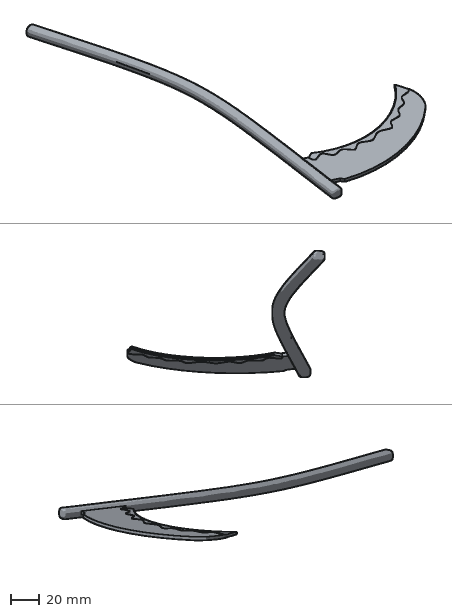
import cadquery as cq
import math

handle_width = 8.7
handle_height = 8.0
corner_radius = 3.0
end_radius = 2.0
butt = (-130.5, -114.5)
head = (131.7, 22.0)
lower_bend = (-65.5, -60.0)
middle_bend = (-22.3, -30.7)
upper_bend = (39.7, -6.0)

blade_thickness = 2.6
bevel = 1.0
grind_depth = 0.3
tip = (21.2, 104.5)
tip_shoulder = (30.2, 112.0)
crown = (45.0, 117.0)
back_start = (55.0, 115.5)
back_middle = (91.7, 89.5)
heel = (117.6, 32.3)
edge_middle = (61.7, 81.0)
edge_end = (79.0, 21.5)
neck_left = 84.3
neck_right = 115.8
neck_left_top = 17.2
neck_right_top = 29.5
flare = 1.3

grind_wave = [
    (32.9, 111.0), (38.2, 103.9), (45.3, 103.0), (51.5, 96.5),
    (58.0, 95.0), (63.9, 86.5), (69.7, 85.3), (71.8, 74.5),
    (80.0, 66.2), (80.5, 55.6), (86.5, 51.1), (83.2, 43.0),
    (87.5, 35.0), (83.2, 27.3), (88.2, 21.0), (neck_left, neck_left_top),
]


def slope_angle(start, end):
    return math.atan2(end[1] - start[1], end[0] - start[0])


def handle_axis_height(x):
    """Y of the axis of the upper straight stretch at x."""
    return head[1] + (x - head[0]) * math.tan(slope_angle(upper_bend, head))


def make_handle():
    lower_angle = slope_angle(butt, lower_bend)
    upper_angle = slope_angle(upper_bend, head)
    end_directions = [(math.cos(angle), math.sin(angle)) for angle in (lower_angle, upper_angle)]
    axis_points = [butt, lower_bend, middle_bend, upper_bend, head]
    path = cq.Workplane("XY").spline(axis_points, tangents=end_directions)
    section_plane = cq.Plane(
        origin=(*butt, 0),
        xDir=(-math.sin(lower_angle), math.cos(lower_angle), 0),
        normal=(math.cos(lower_angle), math.sin(lower_angle), 0),
    )
    section = cq.Sketch().rect(handle_width, handle_height).vertices().fillet(corner_radius)
    bar = cq.Workplane(section_plane).placeSketch(section).sweep(path)
    for end in (butt, head):
        end_face = cq.selectors.NearestToPointSelector((*end, 0))
        bar = bar.faces(end_face).edges().fillet(end_radius)
    return bar


def neck_point(x):
    """Point where the neck side at x meets the flank of the handle."""
    half_rise = handle_width / 2 / math.cos(slope_angle(upper_bend, head))
    return (x, handle_axis_height(x) + half_rise)


def make_blade():
    left_flare = neck_point(neck_left - flare)
    right_flare = neck_point(neck_right + flare)
    profile = (
        cq.Workplane("XY")
        .workplane(offset=-blade_thickness / 2)
        .moveTo(*tip)
        .lineTo(*tip_shoulder)
        .spline([crown, back_start], tangents=[(1, 0.7), (1, -0.5)], includeCurrent=True)
        .threePointArc(back_middle, heel)
        .lineTo(neck_right, neck_right_top)
        .lineTo(neck_right, neck_point(neck_right)[1] + flare)
        .lineTo(*right_flare)
        .lineTo(right_flare[0], handle_axis_height(right_flare[0]))
        .lineTo(left_flare[0], handle_axis_height(left_flare[0]))
        .lineTo(*left_flare)
        .lineTo(neck_left, neck_point(neck_left)[1] + flare)
        .lineTo(neck_left, neck_left_top)
        .lineTo(*edge_end)
        .threePointArc(edge_middle, tip)
        .close()
    )
    blade = profile.extrude(blade_thickness)
    for side in (1, -1):
        cutting_edge = cq.selectors.NearestToPointSelector((*edge_middle, side * blade_thickness / 2))
        blade = blade.edges(cutting_edge).chamfer(bevel)
    return blade


def make_grind_band():
    """Band between the wavy line and the cutting edge, reaching past the blade outline."""
    margin = 5.3
    return (
        cq.Workplane("XY")
        .moveTo(*tip_shoulder)
        .spline(grind_wave, includeCurrent=True)
        .lineTo(edge_end[0] - margin, edge_end[1] - margin)
        .threePointArc((edge_middle[0] - margin, edge_middle[1] - margin), (tip[0] - margin, tip[1]))
        .close()
        .extrude(blade_thickness)
    )


band = make_grind_band()
grind_floor = blade_thickness / 2 - grind_depth
blade = make_blade()
blade = blade.cut(band.translate((0, 0, grind_floor)))
blade = blade.cut(band.translate((0, 0, -grind_floor - blade_thickness)))

result = make_handle().union(blade)